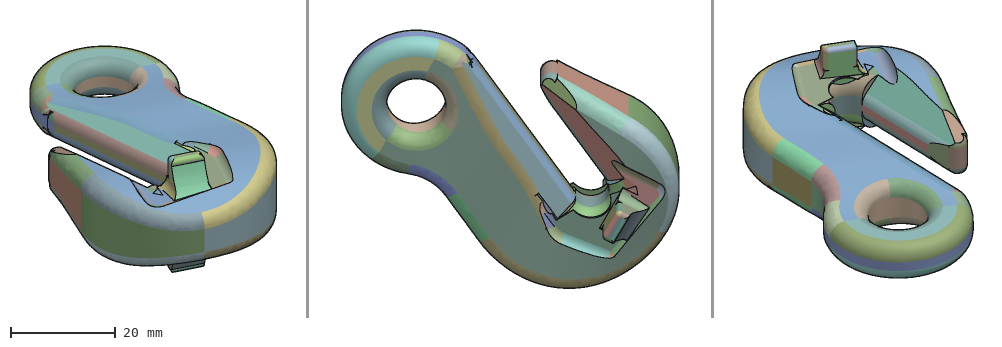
import cadquery as cq
import math


EYE_RADIUS = 14.3
HOLE_DIAMETER = 11.3
BACK_CENTER_X = 33.3
BACK_RADIUS = 21.1
BELLY_RADIUS = 18.3
BELLY_CENTER_X = BACK_CENTER_X + BACK_RADIUS - BELLY_RADIUS
NECK_RADIUS = 9.4
TIP_CENTER = (20.35, -16.7)
TIP_RADIUS = 2.2
NOSE_FLANK = (23.0, -11.9)

SLOT_ANGLE = math.radians(28)
SLOT_RADIUS = 3.5
SLOT_CENTER_X = 37.7

EYE_HALF = 4.0
EYE_FLAT_END = -2.0
FACE_POINTS = [
    (2.0, 4.27),
    (13.75, 5.86),
    (17.75, 6.13),
    (23.3, 6.13),
    (27.4, 6.38),
    (36.0, 7.5),
    (45.0, 7.5),
    (55.4, 4.1),
]
FACE_END_SLOPE = -0.45
HEADROOM = 20.0
RIM_FILLET = 3.0
HOLE_FILLET = 2.8

BEVEL_FOOT = 2.1
BEVEL_SLOPE = 0.9
BEVEL_LENGTH = 50.0
BEVEL_WIDTH = 9.0
BEVEL_FOOT_FILLET = 3.0
BEVEL_CREST_FILLET = 3.0

NOSE_TOP_START = (26.5, 6.4)
NOSE_TOP_SLOPE = 0.36
NOSE_TOP_Y = -12.5
TIP_HEIGHT = 4.4
TIP_FILLET = 2.0

SEAT_CORNERS = [
    ((28.4, -0.5), 0),
    ((28.4, 5.6), 6),
    ((34.8, 10.7), 5),
    ((47.9, 9.3), 1.5),
    ((51.4, -9.9), 3),
    ((35.5, -9.9), 4),
    ((32.5, -7.0), 0),
]
SEAT_CENTER_X = 42.0
SEAT_FLOOR = 6.2
SEAT_TILT_X = 0.05
SEAT_TILT_Y = 0.045
SEAT_FILLET = 2.0
FLARE_FOOT = 2.2
FLARE_RADIUS = 3.5
FLARE_LENGTH = 6.5

POST_X = 41.95
POST_Y = 0.25
POST_THICKNESS = 2.65
POST_WIDTH = 6.7
POST_TOP = 12.7
POST_LAND = 1.1
POST_EDGE_FILLET = 0.9
POST_FOOT = 2.0
POST_BACK = [(45.7, 9.3), (48.8, 6.0)]
POST_ROOT_RADIUS = 2.0
POST_ROOT_Z = 6.0

along = (math.cos(SLOT_ANGLE), math.sin(SLOT_ANGLE))
across = (-along[1], along[0])
SLOT_CENTER = (
    SLOT_CENTER_X,
    (SLOT_CENTER_X * along[1] - EYE_RADIUS - SLOT_RADIUS) / along[0],
)


def shift(point, u, v):
    """Move a plan point by u along the slot and v across it."""
    return (
        point[0] + u * along[0] + v * across[0],
        point[1] + u * along[1] + v * across[1],
    )


def polar(center, radius, angle):
    return (center[0] + radius * math.cos(angle), center[1] + radius * math.sin(angle))


def both_sides(body):
    return body.union(body.mirror("XY"))


def slot_section(u):
    """Plane square to the slot: local x across it, local y up, origin on its centre line."""
    origin = shift(SLOT_CENTER, u, 0)
    return cq.Plane(origin=(*origin, 0), xDir=(*across, 0), normal=(*along, 0))


def tip_points():
    """Sharp corner of the nose, then flank, middle and belly points of its round tip."""
    belly_end = (BELLY_CENTER_X, -BELLY_RADIUS)
    to_flank = math.atan2(NOSE_FLANK[1] - TIP_CENTER[1], NOSE_FLANK[0] - TIP_CENTER[0])
    to_belly = math.atan2(belly_end[1] - TIP_CENTER[1], belly_end[0] - TIP_CENTER[0])
    flank_angle = to_flank + math.acos(TIP_RADIUS / math.dist(NOSE_FLANK, TIP_CENTER))
    belly_angle = to_belly - math.acos(TIP_RADIUS / math.dist(belly_end, TIP_CENTER)) + 2 * math.pi
    middle = (flank_angle + belly_angle) / 2
    half_angle = (belly_angle - flank_angle) / 2
    corner = polar(TIP_CENTER, TIP_RADIUS / math.cos(half_angle), middle)
    return [corner] + [polar(TIP_CENTER, TIP_RADIUS, a) for a in (flank_angle, middle, belly_angle)]


def plan_outline():
    back_center = (BACK_CENTER_X, 0)
    belly_center = (BELLY_CENTER_X, 0)
    back_tangent = polar(back_center, BACK_RADIUS, SLOT_ANGLE + math.pi / 2)
    neck_v = back_tangent[0] * across[0] + back_tangent[1] * across[1] + NECK_RADIUS
    neck_u = math.sqrt((EYE_RADIUS + NECK_RADIUS) ** 2 - neck_v**2)
    neck_center = shift((0, 0), neck_u, neck_v)
    neck_start = polar((0, 0), EYE_RADIUS, math.atan2(neck_center[1], neck_center[0]))
    neck_end = shift(neck_center, 0, -NECK_RADIUS)
    nose_corner = tip_points()[0]
    return (
        cq.Workplane("XY", origin=(0, 0, -HEADROOM))
        .moveTo(*polar((0, 0), EYE_RADIUS, SLOT_ANGLE - math.pi / 2))
        .threePointArc((-EYE_RADIUS, 0), neck_start)
        .tangentArcPoint(neck_end, relative=False)
        .lineTo(*back_tangent)
        .tangentArcPoint((BACK_CENTER_X + BACK_RADIUS, 0), relative=False)
        .threePointArc(
            polar(belly_center, BELLY_RADIUS, -math.pi / 4),
            (BELLY_CENTER_X, -BELLY_RADIUS),
        )
        .lineTo(*nose_corner)
        .lineTo(*NOSE_FLANK)
        .lineTo(*shift(SLOT_CENTER, 0, -SLOT_RADIUS))
        .threePointArc(shift(SLOT_CENTER, SLOT_RADIUS, 0), shift(SLOT_CENTER, 0, SLOT_RADIUS))
        .close()
    )


def thickness_profile():
    """Side silhouette swept across the full width."""
    start_x = -EYE_RADIUS - 5
    upper = (
        cq.Workplane("XZ", origin=(0, 2 * BACK_RADIUS, 0))
        .moveTo(start_x, 0)
        .lineTo(start_x, EYE_HALF)
        .lineTo(EYE_FLAT_END, EYE_HALF)
        .spline(FACE_POINTS, tangents=[(1, 0), (1, FACE_END_SLOPE)], includeCurrent=True)
        .lineTo(FACE_POINTS[-1][0], 0)
        .close()
        .extrude(4 * BACK_RADIUS)
    )
    return both_sides(upper)


def rim_edges(body):
    """Edges between the upright plan walls and the two faces."""

    def is_rim(edge):
        middle = edge.positionAt(0.5)
        return abs(middle.z) > EYE_HALF - 0.1 and abs(edge.tangentAt(0.5).z) < 0.9

    return [edge for edge in body.edges().vals() if is_rim(edge)]


def blank():
    body = plan_outline().extrude(2 * HEADROOM).intersect(thickness_profile())
    return body.newObject(rim_edges(body)).fillet(RIM_FILLET)


def slot_bevel(side):
    """Cutter for the sloping face above one slot wall; side is +1 for the shaft, -1 for the nose."""
    turn = math.pi / 2 - math.atan(BEVEL_SLOPE)
    wall_top = BEVEL_FOOT - BEVEL_FOOT_FILLET * math.tan(turn / 2)
    inner = SLOT_RADIUS / 2
    outer = SLOT_RADIUS + BEVEL_WIDTH
    outer_z = BEVEL_FOOT + BEVEL_SLOPE * BEVEL_WIDTH

    def foot_point(angle):
        v = SLOT_RADIUS + BEVEL_FOOT_FILLET * (1 - math.cos(angle))
        return (side * v, wall_top + BEVEL_FOOT_FILLET * math.sin(angle))

    return (
        cq.Workplane(slot_section(-BEVEL_LENGTH))
        .moveTo(side * inner, wall_top)
        .lineTo(side * SLOT_RADIUS, wall_top)
        .threePointArc(foot_point(turn / 2), foot_point(turn))
        .lineTo(side * outer, outer_z)
        .lineTo(side * inner, outer_z)
        .close()
        .extrude(BEVEL_LENGTH)
    )


def bevel_crests(body):
    """Long creases where the shaft bevel meets the two faces."""

    def is_crest(edge):
        middle = edge.positionAt(0.5)
        v = (middle.x - SLOT_CENTER[0]) * across[0] + (middle.y - SLOT_CENTER[1]) * across[1]
        on_bevel = abs(abs(middle.z) - BEVEL_FOOT - BEVEL_SLOPE * (v - SLOT_RADIUS)) < 0.05
        return on_bevel and middle.x < SLOT_CENTER_X and v > SLOT_RADIUS + 1.5 and edge.Length() > 20

    return [edge for edge in body.edges().vals() if is_crest(edge)]


def nose_top():
    """Cutter that slopes the nose down towards its tip."""
    x_start, z_start = NOSE_TOP_START
    x_tip = TIP_CENTER[0] - TIP_RADIUS - 1
    return (
        cq.Workplane("XZ", origin=(0, NOSE_TOP_Y, 0))
        .moveTo(x_tip, z_start - NOSE_TOP_SLOPE * (x_start - x_tip))
        .lineTo(x_start, z_start)
        .lineTo(x_start, HEADROOM)
        .lineTo(x_tip, HEADROOM)
        .close()
        .extrude(BACK_RADIUS)
    )


def tip_scrap():
    """Material outside the domed tip of the nose."""
    corner, flank_point, tip_point, belly_point = tip_points()
    wedge = (
        cq.Workplane("XY", origin=(0, 0, -HEADROOM))
        .polyline([corner, flank_point, TIP_CENTER, belly_point])
        .close()
        .extrude(2 * HEADROOM)
    )
    dome = (
        cq.Workplane("XY", origin=(*TIP_CENTER, -TIP_HEIGHT))
        .circle(TIP_RADIUS)
        .extrude(2 * TIP_HEIGHT)
        .faces("<Z or >Z")
        .edges()
        .fillet(TIP_FILLET)
    )
    return wedge.cut(dome)


def seat_pocket():
    plane = cq.Plane(
        origin=(SEAT_CENTER_X, 0, SEAT_FLOOR),
        xDir=(1, 0, SEAT_TILT_X),
        normal=(-SEAT_TILT_X, -SEAT_TILT_Y, 1),
    )
    corners = [(x - SEAT_CENTER_X, y) for (x, y), _ in SEAT_CORNERS]
    pocket = cq.Workplane(plane).polyline(corners).close().extrude(HEADROOM / 2)
    for (x, y), (_, radius) in zip(corners, SEAT_CORNERS):
        if radius > 0:
            on_edge = plane.toWorldCoords((x, y, HEADROOM / 4)).toTuple()
            pocket = pocket.edges(cq.selectors.NearestToPointSelector(on_edge)).fillet(radius)
    return pocket.faces("<Z").edges().fillet(SEAT_FILLET)


def slot_flare():
    """Rounded lead-in from the seat floor down into the slot."""
    outer = SLOT_RADIUS + FLARE_RADIUS
    top = FLARE_FOOT + FLARE_RADIUS
    bulge = FLARE_RADIUS * (1 - math.sqrt(0.5))

    def section(u):
        return (
            cq.Workplane(slot_section(u))
            .moveTo(0, FLARE_FOOT)
            .lineTo(SLOT_RADIUS, FLARE_FOOT)
            .threePointArc((SLOT_RADIUS + bulge, top - bulge), (outer, top))
            .lineTo(outer + 2, top + 0.3)
            .lineTo(0, top + 0.3)
            .close()
        )

    end = section(0).revolve(360, (0, 0, 0), (0, 1, 0))
    return end.union(section(-FLARE_LENGTH).extrude(FLARE_LENGTH))


def post():
    back_x = POST_X + POST_THICKNESS

    def side(width):
        return (
            cq.Workplane("XZ", origin=(0, POST_Y + width / 2, 0))
            .moveTo(POST_X, POST_FOOT)
            .lineTo(POST_X, POST_TOP)
            .lineTo(back_x, POST_TOP)
            .lineTo(back_x, POST_TOP - POST_LAND)
            .threePointArc(*POST_BACK)
            .lineTo(back_x, POST_ROOT_Z - 1)
            .lineTo(back_x, POST_FOOT)
            .close()
            .extrude(width)
        )

    stem = side(POST_WIDTH).edges("(|Z and <X) or >Z").fillet(POST_EDGE_FILLET)
    half_width = POST_WIDTH / 2
    bulge = POST_ROOT_RADIUS * (1 - math.sqrt(0.5))
    root_profile = (
        cq.Workplane("YZ")
        .center(POST_Y, 0)
        .moveTo(-half_width - POST_ROOT_RADIUS, POST_ROOT_Z)
        .threePointArc(
            (-half_width - bulge, POST_ROOT_Z + bulge), (-half_width, POST_ROOT_Z + POST_ROOT_RADIUS)
        )
        .lineTo(half_width, POST_ROOT_Z + POST_ROOT_RADIUS)
        .threePointArc(
            (half_width + bulge, POST_ROOT_Z + bulge), (half_width + POST_ROOT_RADIUS, POST_ROOT_Z)
        )
        .lineTo(half_width + POST_ROOT_RADIUS, POST_ROOT_Z - 1)
        .lineTo(-half_width - POST_ROOT_RADIUS, POST_ROOT_Z - 1)
        .close()
        .extrude(HEADROOM * 3)
    )
    root = side(2 * POST_WIDTH).intersect(root_profile)
    return stem.union(root)


hook = blank()
hook = hook.cut(both_sides(slot_bevel(1))).cut(both_sides(slot_bevel(-1)))
hook = hook.cut(both_sides(nose_top())).cut(tip_scrap())
hook = hook.newObject(bevel_crests(hook)).fillet(BEVEL_CREST_FILLET)
hole = cq.Workplane("XY", origin=(0, 0, -HEADROOM)).circle(HOLE_DIAMETER / 2).extrude(2 * HEADROOM)
hook = hook.cut(hole)
hole_rims = [
    edge
    for edge in hook.edges().vals()
    if math.hypot(edge.positionAt(0.5).x, edge.positionAt(0.5).y) < HOLE_DIAMETER / 2 + 0.1
    and abs(edge.positionAt(0.5).z) > EYE_HALF - 0.1
]
hook = hook.newObject(hole_rims).fillet(HOLE_FILLET)
hook = hook.cut(both_sides(seat_pocket())).cut(both_sides(slot_flare()))
result = hook.union(both_sides(post()))